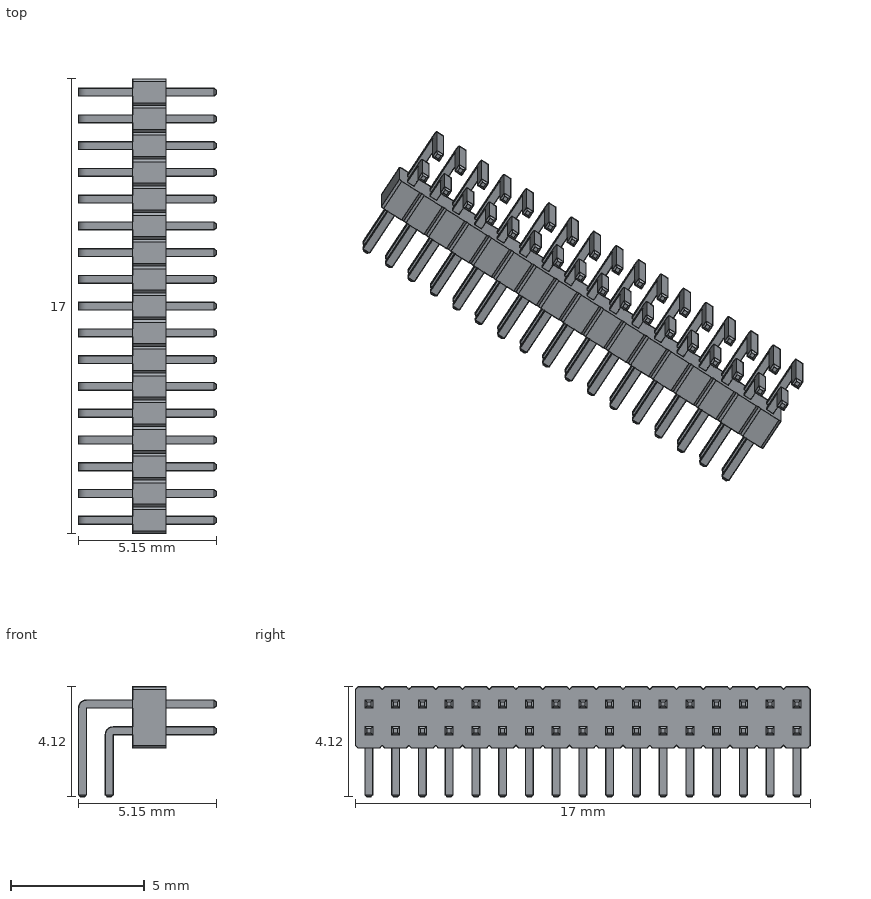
import cadquery as cq

pin_count = 17
pitch = 1.0
pin_width = 0.3

body_width = 1.25
body_height = 2.3
body_chamfer = 0.1

overall_height = 4.12
mating_length = 2.5
inner_leg_offset = 1.5

tip_chamfer = 0.075

leg_bottom_z = body_height / 2 - overall_height
lower_row_z = -pitch / 2
upper_row_z = pitch / 2
inner_leg_x = -inner_leg_offset
outer_leg_x = inner_leg_x - pitch
pin_positions = [(index - (pin_count - 1) / 2) * pitch for index in range(pin_count)]


def make_cell(y):
    """One pitch of the insulator, its four edges along X chamfered."""
    cell = cq.Workplane("XY").box(body_width, pitch, body_height)
    return cell.edges("|X").chamfer(body_chamfer).translate((0, y, 0))


def make_pin(leg_x, row_z):
    """Square pin bent down, rounded about its sharp inner corner, both tips chamfered."""
    half = pin_width / 2
    bar = (
        cq.Workplane("XZ")
        .moveTo(leg_x - half, leg_bottom_z)
        .lineTo(leg_x - half, row_z - half)
        .radiusArc((leg_x + half, row_z + half), pin_width)
        .lineTo(mating_length, row_z + half)
        .lineTo(mating_length, row_z - half)
        .lineTo(leg_x + half, row_z - half)
        .lineTo(leg_x + half, leg_bottom_z)
        .close()
        .extrude(half, both=True)
    )
    return bar.faces(">X").chamfer(tip_chamfer).faces("<Z").chamfer(tip_chamfer)


def make_body():
    """Row of chamfered cells; neighbouring chamfers form V grooves above and below."""
    first_cell, *other_cells = [make_cell(y).val() for y in pin_positions]
    return first_cell.fuse(*other_cells).clean()


def make_pins():
    """An upper and a lower pin at every position along the body."""
    upper_pin = make_pin(outer_leg_x, upper_row_z).val()
    lower_pin = make_pin(inner_leg_x, lower_row_z).val()
    pins = []
    for y in pin_positions:
        pins.append(upper_pin.translate(cq.Vector(0, y, 0)))
        pins.append(lower_pin.translate(cq.Vector(0, y, 0)))
    return pins


result = cq.Workplane(make_body().fuse(*make_pins()).Solids()[0])